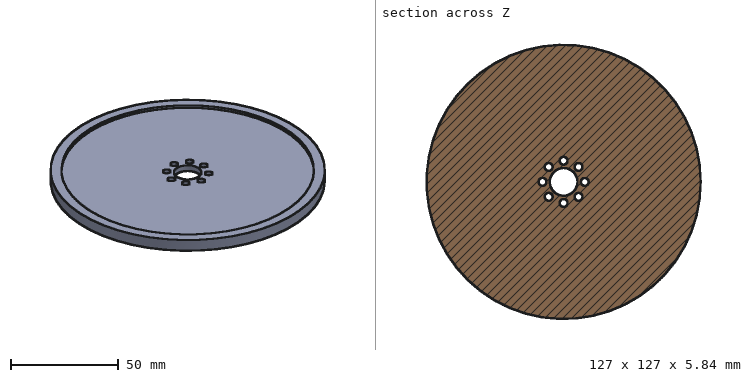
import cadquery as cq

outer_diameter = 127.0
rim_height = 5.842
rim_width = 5.08
web_thickness = 3.175
recess_diameter = outer_diameter - 2 * rim_width
recess_depth = (rim_height - web_thickness) / 2

bore_diameter = 12.7
bolt_hole_diameter = 3.556
bolt_circle_diameter = 19.558
bolt_hole_count = 8


def make_disc():
    """Plain round disc standing on the XY plane."""
    return cq.Workplane("XY").circle(outer_diameter / 2).extrude(rim_height)


def cut_recess(body, face):
    """Shallow round recess in the selected end face, leaving the rim around it."""
    return body.faces(face).workplane().circle(recess_diameter / 2).cutBlind(-recess_depth)


def cut_hub_holes(body):
    """Central bore and the ring of bolt holes, all through the web."""
    bore = cq.Workplane("XY").circle(bore_diameter / 2).extrude(rim_height)
    bolt_holes = (
        cq.Workplane("XY")
        .polarArray(bolt_circle_diameter / 2, 0, 360, bolt_hole_count)
        .circle(bolt_hole_diameter / 2)
        .extrude(rim_height)
    )
    return body.cut(bore).cut(bolt_holes)


disc = make_disc()
for end_face in (">Z", "<Z"):
    disc = cut_recess(disc, end_face)

result = cut_hub_holes(disc)